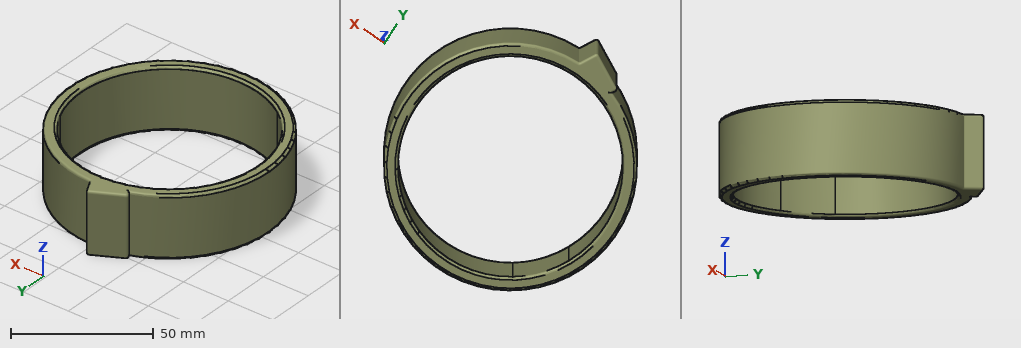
import cadquery as cq
import math

ring_outer_diameter = 89.0
bore_diameter = 79.05
ring_height = 27.0
edge_radius = 1.0

overall_depth = 95.0
tab_turn = 28.0
tab_left_offset = 6.4
tab_width = 15.1
tab_corner_radius = 1.0
tab_root_radius = 0.5

electrode_count = 2
electrode_thickness = 1.0
gap_angle = 30.0
first_gap_center = 40.0

ring_outer_radius = ring_outer_diameter / 2
bore_radius = bore_diameter / 2
tab_right_offset = tab_left_offset + tab_width
electrode_height = ring_height - 2 * edge_radius
electrode_pitch = 360.0 / electrode_count
electrode_angle = electrode_pitch - gap_angle
first_electrode_start = first_gap_center + gap_angle / 2


def tab_reach():
    """Distance from the ring axis to the tab's outer face; its rounded right corner ends the depth."""
    turn = math.radians(tab_turn)
    corner_center_x = tab_right_offset - tab_corner_radius
    corner_center_depth = overall_depth - ring_outer_radius - tab_corner_radius
    corner_center_y = (corner_center_depth - corner_center_x * math.sin(turn)) / math.cos(turn)
    return corner_center_y + tab_corner_radius


def make_disc(radius):
    return cq.Workplane("XY").circle(radius).extrude(ring_height)


def make_tab():
    """The unturned tab, reaching inward past the bore wall so that it meets the ring all over."""
    block = cq.Workplane("XY").box(tab_width, tab_reach(), ring_height, centered=False)
    block = block.translate((tab_left_offset, 0, 0))
    return block.edges("|Z and >Y").fillet(tab_corner_radius)


def make_ring(electrodes):
    """Ring and tab with rounded rims and right tab root, the bore, and a recess for each electrode."""
    root_y = math.sqrt(ring_outer_radius**2 - tab_right_offset**2)
    right_root = cq.NearestToPointSelector((tab_right_offset, root_y, ring_height / 2))
    ring = make_disc(ring_outer_radius).union(make_tab())
    ring = ring.edges(right_root).fillet(tab_root_radius)
    ring = ring.rotate((0, 0, 0), (0, 0, 1), tab_turn)
    ring = ring.cut(make_disc(bore_radius))
    ring = ring.faces("<Z or >Z").edges().fillet(edge_radius)
    for electrode in electrodes:
        ring = ring.cut(electrode)
    return ring


def make_electrode(start_angle):
    """An arc-shaped plate whose inner face lies on the bore."""
    return (
        cq.Workplane("XZ")
        .moveTo(bore_radius, edge_radius)
        .rect(electrode_thickness, electrode_height, centered=False)
        .revolve(electrode_angle, (0, 0), (0, 1))
        .rotate((0, 0, 0), (0, 0, 1), start_angle)
    )


electrodes = [
    make_electrode(first_electrode_start + index * electrode_pitch)
    for index in range(electrode_count)
]
ring = make_ring(electrodes)

result = cq.Compound.makeCompound([ring.val(), *[electrode.val() for electrode in electrodes]])